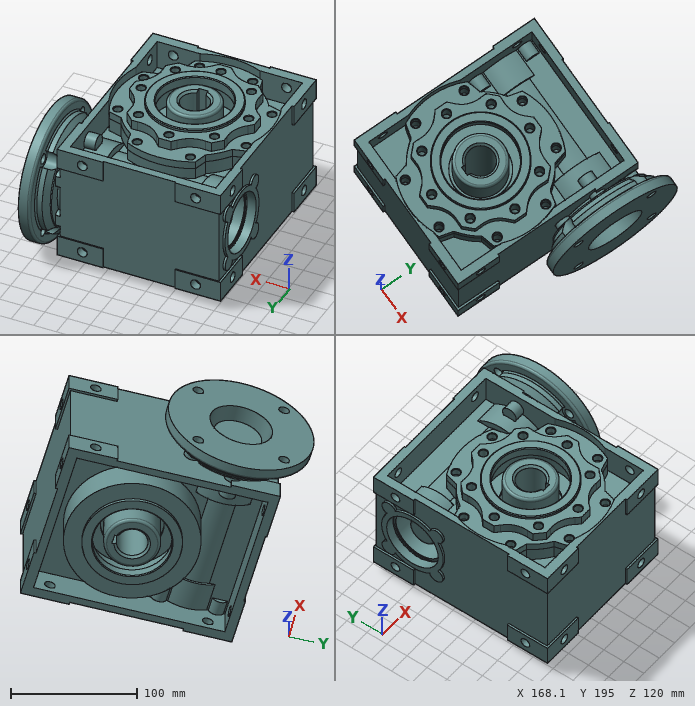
import cadquery as cq
import math

OVERALL_LENGTH = 195.0
FLANGE_DIAMETER = 120.0
AXIS_OFFSET = 63.0

HOUSING_HALF_X = 72.0
HOUSING_HALF_Z = 51.7
HOUSING_BACK_Y = 102.0
HOUSING_FRONT_Y = AXIS_OFFSET + FLANGE_DIAMETER / 2 - OVERALL_LENGTH
PAD_LENGTH = 40.2
PAD_HEIGHT = 18.3
PAD_THICKNESS_X = 2.0
PAD_THICKNESS_FRONT = 1.8
PAD_THICKNESS_BACK = 1.2
BODY_HALF_X = HOUSING_HALF_X - PAD_THICKNESS_X
BODY_FRONT_Y = HOUSING_FRONT_Y + PAD_THICKNESS_FRONT
BODY_BACK_Y = HOUSING_BACK_Y - PAD_THICKNESS_BACK
CAVITY_HALF_X = 64.0
CAVITY_FRONT_Y = -63.4
CAVITY_BACK_Y = 94.0
FLOOR_Z = 26.3

PAD_HOLE_RADIUS = 4.3
PAD_HOLE_Z = 42.3
PAD_HOLE_X = 50.0
PAD_HOLE_FRONT_Y = -PAD_HOLE_X
PAD_HOLE_BACK_Y = 80.0

INPUT_BORE_RADIUS = 25.7
TUBE_RADIUS = 28.7
PLAIN_BEARING_RADIUS = 30.8
PLAIN_BEARING_INNER_X = -39.0
FLANGE_BEARING_RADIUS = 34.5
FLANGE_BEARING_INNER_X = 42.1
FLANGE_FACE_X = 74.1
BOLT_BOSS_RADIUS = 6.8
PLAIN_BOSS_COUNT = 4
PLAIN_BOSS_CIRCLE = 33.3
PLAIN_BOSS_INNER_X = -51.7
FLANGE_BOSS_COUNT = 6
FLANGE_BOSS_CIRCLE = 38.0
FLANGE_BOSS_INNER_X = 54.2

CHAMBER_RADIUS = 53.0
BOTTOM_BOSS_RADIUS = 54.6
BOTTOM_RING_Z = -54.6

RING_INNER_RADIUS = 23.5
RING_OUTER_RADIUS = 27.3
RING_THICKNESS = 0.5
RING_FACE_X = -63.2
RING_GAP = 0.5

COVER_SEAT_Z = 38.2
COVER_FLANGE_Z = 44.8
COVER_STAR_Z = 53.2
COVER_RING_Z = 56.0
COVER_SPIGOT_Z = 25.4
COVER_RADIUS = 68.0
COVER_LOBE_ANGLE = 26.1
COVER_NOTCH_RADIUS = 59.0
COVER_NOTCH_ANGLE = 34.1
COVER_CLEARANCE = 0.5
STAR_TIP_DISTANCE = 55.2
STAR_TIP_HALF_WIDTH = 5.5
STAR_ROOT_DISTANCE = 51.3
STAR_ROOT_HALF_WIDTH = 9.2
STAR_WAIST_RADIUS = 48.2
COVER_RING_RADIUS = 40.0
COVER_RING_CHAMFER = 0.8
SEAL_RADIUS = 31.5
SEAL_DEPTH = 8.5
SEAL_CHAMFER = 0.8
BEARING_RADIUS = 37.5
BEARING_FLOOR_Z = 28.0
HUB_OPENING_RADIUS = 25.4

BOLT_RADIUS = 3.5
BOLT_CHAMFER = 0.5
BOLT_COUNT = 8
STAR_BOLT_CIRCLE = 47.4
STAR_BOLT_DEPTH = 15.6
FLANGE_BOLT_CIRCLE = 61.2
FLANGE_BOLT_DEPTH = 21.5
DRILL_TIP_HEIGHT = 2.3

HUB_HALF_LENGTH = 56.0
HUB_RADIUS = 22.6
HUB_FILLET = 2.3
HUB_BORE_RADIUS = 12.5
HUB_BORE_CHAMFER = 2.0
KEYWAY_WIDTH = 8.0
KEYWAY_REACH = 15.6
SHOULDER_RADIUS = 29.2
SHOULDER_HALF_LENGTH = 24.4
WHEEL_RADIUS = 51.9
WHEEL_HALF_WIDTH = 11.3
WHEEL_CHAMFER = 1.8

WORM_END_X = -58.5
WORM_TIP_RADIUS = 12.9
WORM_TIP_FILLET = 1.5
WORM_TIP_LENGTH = 3.9
WORM_RADIUS = 14.5
WORM_COLLAR_RADIUS = 19.7
WORM_CONE_START_X = 35.5
WORM_CONE_END_X = 39.0

FLANGE_PLATE_X = 86.0
FLANGE_OUTER_X = 96.1
FLANGE_FILLET = 2.1
NECK_SMALL_RADIUS = 44.8
NECK_RADIUS = 50.0
NECK_CONE_START_X = 75.3
NECK_CONE_END_X = 80.0
NECK_FLARE = 1.4
FLANGE_HOLE_COUNT = 4
FLANGE_HOLE_CIRCLE = 50.0
FLANGE_HOLE_RADIUS = 4.3
SCALLOP_RADIUS = 6.8


def polar(radius, angle):
    """Point at the given radius and angle in degrees."""
    return radius * math.cos(math.radians(angle)), radius * math.sin(math.radians(angle))


def box_between(x, y, z):
    """Box spanning the (low, high) pairs in X, Y and Z."""
    return cq.Workplane("XY").box(
        x[1] - x[0], y[1] - y[0], z[1] - z[0], centered=False
    ).translate((x[0], y[0], z[0]))


def cylinder_z(radius, low, high):
    return cq.Workplane("XY").workplane(offset=low).circle(radius).extrude(high - low)


def cylinder_x(radius, low, high, y=0.0, z=0.0):
    """Cylinder along X, placed relative to the input axis."""
    plane = cq.Workplane("YZ", origin=(low, AXIS_OFFSET, 0))
    return plane.center(y, z).circle(radius).extrude(high - low)


def drilled_holes(circle, first_angle, top, depth):
    """Ring of blind holes along Z with chamfered mouths and conical drill tips."""
    profile = [
        (0, 0),
        (BOLT_RADIUS + BOLT_CHAMFER, 0),
        (BOLT_RADIUS, -BOLT_CHAMFER),
        (BOLT_RADIUS, -depth),
        (0, -depth - DRILL_TIP_HEIGHT),
    ]
    drill = cq.Workplane("XZ").polyline(profile).close().revolve(360, (0, 0), (0, 1))
    holes = cq.Workplane("XY")
    for index in range(BOLT_COUNT):
        x, y = polar(circle, first_angle + index * 360 / BOLT_COUNT)
        holes = holes.add(drill.translate((x, y, top)))
    return holes.combine()


def flange_bolt_holes():
    """Holes running through the cover flange into the housing boss."""
    return drilled_holes(FLANGE_BOLT_CIRCLE, 180 / BOLT_COUNT, COVER_FLANGE_Z, FLANGE_BOLT_DEPTH)


def cover_outline(low, high):
    """Disc with four wide lobes and a shallow notch on each diagonal."""
    outline = cq.Workplane("XY").workplane(offset=low).moveTo(*polar(COVER_RADIUS, -COVER_LOBE_ANGLE))
    for turn in (0, 90, 180, 270):
        outline = (
            outline.threePointArc(polar(COVER_RADIUS, turn), polar(COVER_RADIUS, turn + COVER_LOBE_ANGLE))
            .lineTo(*polar(COVER_NOTCH_RADIUS, turn + COVER_NOTCH_ANGLE))
            .threePointArc(
                polar(COVER_NOTCH_RADIUS, turn + 45),
                polar(COVER_NOTCH_RADIUS, turn + 90 - COVER_NOTCH_ANGLE),
            )
        )
        if turn < 270:
            outline = outline.lineTo(*polar(COVER_RADIUS, turn + 90 - COVER_LOBE_ANGLE))
    return outline.close().extrude(high - low)


def star(low, high):
    """Eight flat tips with straight flanks, joined by concave arcs."""
    tip_radius = math.hypot(STAR_TIP_DISTANCE, STAR_TIP_HALF_WIDTH)
    tip_angle = math.degrees(math.atan2(STAR_TIP_HALF_WIDTH, STAR_TIP_DISTANCE))
    root_radius = math.hypot(STAR_ROOT_DISTANCE, STAR_ROOT_HALF_WIDTH)
    root_angle = math.degrees(math.atan2(STAR_ROOT_HALF_WIDTH, STAR_ROOT_DISTANCE))
    step = 360 / BOLT_COUNT
    outline = cq.Workplane("XY").workplane(offset=low).moveTo(*polar(root_radius, -root_angle))
    for index in range(BOLT_COUNT):
        turn = index * step
        outline = (
            outline.lineTo(*polar(tip_radius, turn - tip_angle))
            .lineTo(*polar(tip_radius, turn + tip_angle))
            .lineTo(*polar(root_radius, turn + root_angle))
            .threePointArc(
                polar(STAR_WAIST_RADIUS, turn + step / 2),
                polar(root_radius, turn + step - root_angle),
            )
        )
    return outline.close().extrude(high - low)


def output_pocket(face_z):
    """Seal seat, wider bearing seat and hub opening, entered from the +Z side."""
    seal_bottom = face_z - SEAL_DEPTH
    profile = [
        (0, face_z),
        (SEAL_RADIUS + SEAL_CHAMFER, face_z),
        (SEAL_RADIUS, face_z - SEAL_CHAMFER),
        (SEAL_RADIUS, seal_bottom),
        (BEARING_RADIUS, seal_bottom),
        (BEARING_RADIUS, BEARING_FLOOR_Z),
        (HUB_OPENING_RADIUS, BEARING_FLOOR_Z),
        (HUB_OPENING_RADIUS, COVER_SPIGOT_Z),
        (0, COVER_SPIGOT_Z),
    ]
    return cq.Workplane("XZ").polyline(profile).close().revolve(360, (0, 0), (0, 1))


def corner_pads():
    """The eight raised corners of the box."""
    x_ranges = (
        (-HOUSING_HALF_X, PAD_LENGTH - HOUSING_HALF_X),
        (HOUSING_HALF_X - PAD_LENGTH, HOUSING_HALF_X),
    )
    y_ranges = (
        (HOUSING_FRONT_Y, HOUSING_FRONT_Y + PAD_LENGTH),
        (HOUSING_BACK_Y - PAD_LENGTH, HOUSING_BACK_Y),
    )
    z_ranges = (
        (-HOUSING_HALF_Z, PAD_HEIGHT - HOUSING_HALF_Z),
        (HOUSING_HALF_Z - PAD_HEIGHT, HOUSING_HALF_Z),
    )
    return [box_between(x, y, z) for x in x_ranges for y in y_ranges for z in z_ranges]


def housing_shell():
    """Box with corner pads, open above and below the central slab."""
    shell = box_between(
        (-BODY_HALF_X, BODY_HALF_X), (BODY_FRONT_Y, BODY_BACK_Y), (-HOUSING_HALF_Z, HOUSING_HALF_Z)
    )
    for pad in corner_pads():
        shell = shell.union(pad)
    for z_range in ((FLOOR_Z, HOUSING_HALF_Z), (-HOUSING_HALF_Z, -FLOOR_Z)):
        cavity = box_between(
            (-CAVITY_HALF_X, CAVITY_HALF_X), (CAVITY_FRONT_Y, CAVITY_BACK_Y), z_range
        )
        shell = shell.cut(cavity)
    return shell


def drill_pad_holes(shell):
    """Drill the walls behind the pads; the +X wall has no hole beside the flange bosses."""
    length_x = 2 * HOUSING_HALF_X
    length_y = HOUSING_BACK_Y - HOUSING_FRONT_Y
    for z in (-PAD_HOLE_Z, PAD_HOLE_Z):
        for x in (-PAD_HOLE_X, PAD_HOLE_X):
            along_y = cq.Workplane("XZ", origin=(x, HOUSING_BACK_Y, z)).circle(PAD_HOLE_RADIUS)
            shell = shell.cut(along_y.extrude(length_y))
        for y, length in ((PAD_HOLE_FRONT_Y, length_x), (PAD_HOLE_BACK_Y, HOUSING_HALF_X)):
            along_x = cq.Workplane("YZ", origin=(-HOUSING_HALF_X, y, z)).circle(PAD_HOLE_RADIUS)
            shell = shell.cut(along_x.extrude(length))
    return shell


def input_bosses():
    """Worm tube, the bearing boss at each end and their bolt bosses."""
    bosses = [
        cylinder_x(TUBE_RADIUS, PLAIN_BEARING_INNER_X, FLANGE_BEARING_INNER_X),
        cylinder_x(PLAIN_BEARING_RADIUS, -HOUSING_HALF_X, PLAIN_BEARING_INNER_X),
        cylinder_x(FLANGE_BEARING_RADIUS, FLANGE_BEARING_INNER_X, FLANGE_FACE_X),
    ]
    for index in range(PLAIN_BOSS_COUNT):
        y, z = polar(PLAIN_BOSS_CIRCLE, (index + 0.5) * 360 / PLAIN_BOSS_COUNT)
        bosses.append(cylinder_x(BOLT_BOSS_RADIUS, -HOUSING_HALF_X, PLAIN_BOSS_INNER_X, y, z))
    for index in range(FLANGE_BOSS_COUNT):
        y, z = polar(FLANGE_BOSS_CIRCLE, (index + 0.5) * 360 / FLANGE_BOSS_COUNT)
        bosses.append(cylinder_x(BOLT_BOSS_RADIUS, FLANGE_BOSS_INNER_X, FLANGE_FACE_X, y, z))
    return bosses


def make_housing():
    housing = drill_pad_holes(housing_shell())
    inside_back_face = box_between(
        (-HOUSING_HALF_X, FLANGE_FACE_X), (BODY_FRONT_Y, BODY_BACK_Y), (-HOUSING_HALF_Z, HOUSING_HALF_Z)
    )
    for boss in input_bosses():
        housing = housing.union(boss.intersect(inside_back_face))
    housing = housing.union(cover_outline(FLOOR_Z, COVER_SEAT_Z))
    housing = housing.cut(cylinder_z(COVER_RADIUS + COVER_CLEARANCE, COVER_SEAT_Z, HOUSING_HALF_Z))
    housing = housing.union(cylinder_z(BOTTOM_BOSS_RADIUS, -HOUSING_HALF_Z, -FLOOR_Z))
    housing = housing.union(cylinder_z(COVER_RING_RADIUS, BOTTOM_RING_Z, -HOUSING_HALF_Z))
    housing = housing.cut(output_pocket(-BOTTOM_RING_Z).mirror("XY"))
    housing = housing.cut(cylinder_z(CHAMBER_RADIUS, -COVER_SPIGOT_Z, COVER_SEAT_Z))
    housing = housing.cut(cylinder_x(INPUT_BORE_RADIUS, -HOUSING_HALF_X, FLANGE_FACE_X))
    groove_end = RING_FACE_X + RING_THICKNESS
    housing = housing.cut(cylinder_x(RING_OUTER_RADIUS, RING_FACE_X - RING_GAP, groove_end))
    return housing.cut(flange_bolt_holes())


def make_retaining_ring():
    ring_end = RING_FACE_X + RING_THICKNESS
    ring = cylinder_x(RING_OUTER_RADIUS, RING_FACE_X, ring_end)
    return ring.cut(cylinder_x(RING_INNER_RADIUS, RING_FACE_X, ring_end))


def make_cover():
    ring = cylinder_z(COVER_RING_RADIUS, COVER_STAR_Z, COVER_RING_Z).faces(">Z").chamfer(COVER_RING_CHAMFER)
    cover = cover_outline(COVER_SEAT_Z, COVER_FLANGE_Z)
    cover = cover.union(star(COVER_FLANGE_Z, COVER_STAR_Z)).union(ring)
    cover = cover.union(cylinder_z(CHAMBER_RADIUS, COVER_SPIGOT_Z, COVER_SEAT_Z))
    cover = cover.cut(output_pocket(COVER_RING_Z))
    cover = cover.cut(cylinder_x(INPUT_BORE_RADIUS, -HOUSING_HALF_X, FLANGE_FACE_X))
    cover = cover.cut(drilled_holes(STAR_BOLT_CIRCLE, 0, COVER_STAR_Z, STAR_BOLT_DEPTH))
    return cover.cut(flange_bolt_holes())


def make_worm_wheel():
    """Worm wheel in one piece with its hollow, keyed output shaft."""
    hub = cylinder_z(HUB_RADIUS, -HUB_HALF_LENGTH, HUB_HALF_LENGTH).edges().fillet(HUB_FILLET)
    rim = cylinder_z(WHEEL_RADIUS, -WHEEL_HALF_WIDTH, WHEEL_HALF_WIDTH).edges().chamfer(WHEEL_CHAMFER)
    shoulder = cylinder_z(SHOULDER_RADIUS, -SHOULDER_HALF_LENGTH, SHOULDER_HALF_LENGTH)
    bore = cylinder_z(HUB_BORE_RADIUS, -HUB_HALF_LENGTH, HUB_HALF_LENGTH)
    keyway = box_between(
        (-KEYWAY_WIDTH / 2, KEYWAY_WIDTH / 2), (-KEYWAY_REACH, 0), (-HUB_HALF_LENGTH, HUB_HALF_LENGTH)
    )
    wheel = hub.union(shoulder).union(rim).cut(bore)
    wheel = wheel.faces("<Z or >Z").edges("%CIRCLE").edges(
        cq.selectors.RadiusNthSelector(0)
    ).chamfer(HUB_BORE_CHAMFER)
    throat = cylinder_x(WORM_RADIUS, -WHEEL_RADIUS, WORM_CONE_START_X)
    return wheel.cut(keyway).cut(throat)


def make_worm():
    tip_end = WORM_END_X + WORM_TIP_LENGTH
    tip = cylinder_x(WORM_TIP_RADIUS, WORM_END_X, tip_end).faces("<X").edges().fillet(WORM_TIP_FILLET)
    profile = [
        (tip_end, 0),
        (tip_end, WORM_RADIUS),
        (WORM_CONE_START_X, WORM_RADIUS),
        (WORM_CONE_END_X, WORM_COLLAR_RADIUS),
        (FLANGE_PLATE_X, WORM_COLLAR_RADIUS),
        (FLANGE_PLATE_X, 0),
    ]
    shaft = cq.Workplane("XY").polyline(profile).close().revolve(360, (0, 0), (1, 0))
    return tip.union(shaft.translate((0, AXIS_OFFSET, 0)))


def make_input_flange():
    profile = [
        (FLANGE_FACE_X, 0),
        (FLANGE_FACE_X, NECK_SMALL_RADIUS),
        (NECK_CONE_START_X, NECK_SMALL_RADIUS),
        (NECK_CONE_END_X, NECK_RADIUS),
        (FLANGE_PLATE_X - NECK_FLARE, NECK_RADIUS),
        (FLANGE_PLATE_X, NECK_RADIUS + NECK_FLARE),
        (FLANGE_PLATE_X, 0),
    ]
    neck = cq.Workplane("XY").polyline(profile).close().revolve(360, (0, 0), (1, 0))
    flange = neck.translate((0, AXIS_OFFSET, 0))
    plate = cylinder_x(FLANGE_DIAMETER / 2, FLANGE_PLATE_X, FLANGE_OUTER_X)
    plate = plate.faces("<X").edges().fillet(FLANGE_FILLET)
    for index in range(FLANGE_HOLE_COUNT):
        y, z = polar(FLANGE_HOLE_CIRCLE, (index + 0.5) * 360 / FLANGE_HOLE_COUNT)
        flange = flange.cut(cylinder_x(SCALLOP_RADIUS, FLANGE_FACE_X, FLANGE_PLATE_X, y, z))
        plate = plate.cut(cylinder_x(FLANGE_HOLE_RADIUS, FLANGE_PLATE_X, FLANGE_OUTER_X, y, z))
    return flange.union(plate).cut(cylinder_x(INPUT_BORE_RADIUS, FLANGE_FACE_X, FLANGE_OUTER_X))


housing = make_housing()
retaining_ring = make_retaining_ring()
cover = make_cover()
worm_wheel = make_worm_wheel()
worm = make_worm()
input_flange = make_input_flange()

result = cq.Compound.makeCompound([
    housing.solids().val(),
    retaining_ring.solids().val(),
    cover.solids().val(),
    worm_wheel.solids().val(),
    worm.solids().val(),
    input_flange.solids().val(),
])